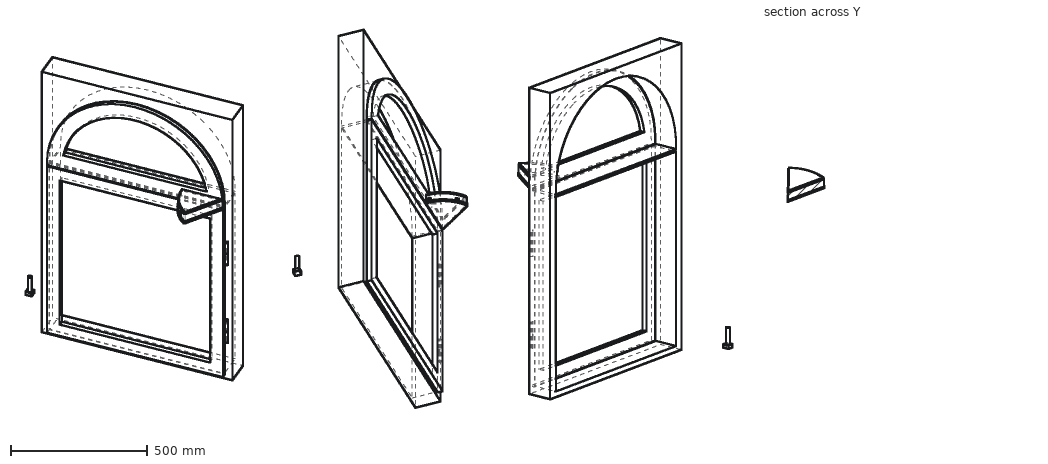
import cadquery as cq
import math


frame_width = 761.0
frame_height = 1182.0
frame_depth = 100.0

sash_width = 702.0
sash_thickness = 20.0
sash_bottom = 20.0
sash_height = 755.0
sash_border = 51.0
sash_top = sash_bottom + sash_height

arch_gap = 5.0
arch_bottom = sash_top + arch_gap
arch_radius = sash_width / 2
arch_border = 60.0
arch_straight = 13.0
arch_center_z = arch_bottom + arch_straight
arch_sill = 63.0

sash_overlap = 2.0

hinge_diameter = 13.0
hinge_length = 100.0
hinge_bore = 5.0
hinge_heights = (222.0, 575.0)
hinge_gap = 2.0
hinge_groove_width = 2.0
hinge_groove_depth = 1.0

wedge_angle = 55
plate_radius = 167.0
plate_thickness = 10.0
box_radius = 165.0
box_height = 32.0
box_tip_radius = 5.0
cap_height = 7.0
cap_inset = 4.0
notch_width = 12.0
notch_height = 13.0
notch_depth = 5.0
notch_angles = (4, 41)

bolt_x = -517.0
bolt_y = 208.0
bolt_bottom = -4.0
head_size = 25.0
head_height = 13.0
shank_diameter = 15.0
shank_length = 64.0


def sash_opening(border, front_y, depth):
    """Rectangle `border` inside the outline of the sash, from `front_y` back through `depth`."""
    return (
        cq.Workplane("XY")
        .box(sash_width - 2 * border, depth, sash_height - 2 * border, centered=(True, False, False))
        .translate((0, front_y, sash_bottom + border))
    )


def arch_opening(border, sill, front_y, depth):
    """Circle segment above a flat sill, inside the outline of the arch."""
    radius = arch_radius - border
    sill_z = arch_bottom + sill
    half_sill = math.sqrt(radius**2 - (sill_z - arch_center_z) ** 2)
    return (
        cq.Workplane("XZ", origin=(0, front_y, 0))
        .moveTo(-half_sill, sill_z)
        .threePointArc((0, arch_center_z + radius), (half_sill, sill_z))
        .close()
        .extrude(-depth)
    )


def make_frame():
    return (
        cq.Workplane("XY")
        .box(frame_width, frame_depth, frame_height, centered=(True, False, False))
        .cut(sash_opening(sash_overlap, 0, frame_depth))
        .cut(arch_opening(sash_overlap, sash_overlap, 0, frame_depth))
    )


def make_sash():
    return (
        cq.Workplane("XY")
        .box(sash_width, sash_thickness, sash_height, centered=(True, False, False))
        .translate((0, -sash_thickness, sash_bottom))
        .cut(sash_opening(sash_border, -sash_thickness, sash_thickness))
    )


def make_arch():
    return (
        cq.Workplane("XZ")
        .moveTo(-arch_radius, arch_bottom)
        .lineTo(-arch_radius, arch_center_z)
        .threePointArc((0, arch_center_z + arch_radius), (arch_radius, arch_center_z))
        .lineTo(arch_radius, arch_bottom)
        .close()
        .extrude(sash_thickness)
        .cut(arch_opening(arch_border, arch_sill, -sash_thickness, sash_thickness))
    )


def make_hinge(middle_z):
    """Upright hinge barrel with a fine groove where its two knuckles meet."""
    radius = hinge_diameter / 2
    x = sash_width / 2 + hinge_gap + radius
    barrel = cq.Workplane("XY").circle(radius).circle(hinge_bore / 2).extrude(hinge_length)
    groove = (
        cq.Workplane("XY", origin=(0, 0, (hinge_length - hinge_groove_width) / 2))
        .circle(hinge_diameter)
        .circle(radius - hinge_groove_depth)
        .extrude(hinge_groove_width)
    )
    return barrel.cut(groove).translate((x, -radius, middle_z - hinge_length / 2))


def wedge_outline(radius, bottom_z):
    """Circle sector with its corner at the hinge end of the arch, against the arch front."""
    def on_arc(degrees):
        angle = math.radians(degrees)
        return (-radius * math.cos(angle), -radius * math.sin(angle))

    return (
        cq.Workplane("XY", origin=(arch_radius, -sash_thickness, bottom_z))
        .lineTo(*on_arc(0))
        .threePointArc(on_arc(wedge_angle / 2), on_arc(wedge_angle))
        .close()
    )


def make_wedge_plate():
    return wedge_outline(plate_radius, arch_bottom).extrude(plate_thickness)


def make_wedge_box():
    """Wedge with a rounded tip, a slightly smaller cap and notches along the foot of its arc."""
    bottom_z = arch_bottom + plate_thickness
    box = wedge_outline(box_radius, bottom_z).extrude(box_height)
    box = box.edges("|Z").edges("<Y").fillet(box_tip_radius)
    cap = wedge_outline(box_radius, bottom_z + box_height).offset2D(-cap_inset).extrude(cap_height)
    box = box.union(cap)
    for angle in notch_angles:
        notch = (
            cq.Workplane("XY")
            .box(2 * notch_depth, notch_width, notch_height, centered=(True, True, False))
            .translate((-box_radius, 0, 0))
            .rotate((0, 0, 0), (0, 0, 1), angle)
            .translate((arch_radius, -sash_thickness, bottom_z))
        )
        box = box.cut(notch)
    return box


def make_bolt():
    """Square-headed bolt standing on its head."""
    head = cq.Workplane("XY").box(head_size, head_size, head_height, centered=(True, True, False))
    shank = (
        cq.Workplane("XY", origin=(0, 0, head_height))
        .circle(shank_diameter / 2)
        .extrude(shank_length)
    )
    return head.union(shank).translate((bolt_x, bolt_y, bolt_bottom))


frame = make_frame()
sash = make_sash()
arch = make_arch()
hinges = [make_hinge(z) for z in hinge_heights]
wedge_plate = make_wedge_plate()
wedge_box = make_wedge_box()
bolt = make_bolt()

result = cq.Compound.makeCompound([
    frame.val(),
    sash.val(),
    arch.val(),
    *[hinge.val() for hinge in hinges],
    wedge_plate.val(),
    wedge_box.val(),
    bolt.val(),
])